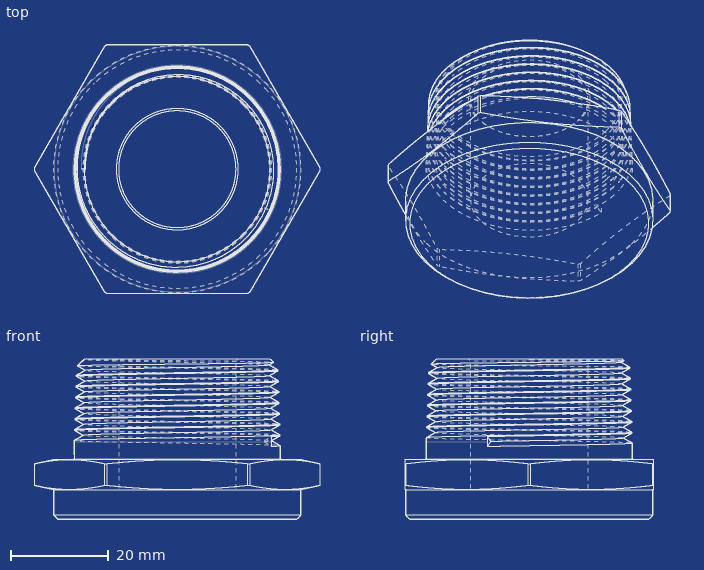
import cadquery as cq
import math

TOTAL_HEIGHT = 32.8
BASE_HEIGHT = 6.05
HEX_HEIGHT = 6.2
COLLAR_HEIGHT = 3.55
HEX_TOP = BASE_HEIGHT + HEX_HEIGHT
THREAD_START = HEX_TOP + COLLAR_HEIGHT

BASE_RADIUS = 25.25
BASE_CHAMFER = 0.9

HEX_ACROSS_FLATS = 50.8
HEX_CORNER_RADIUS = 29.2
HEX_CHAMFER_RADIUS = 25.15
HEX_CHAMFER_DROP = 0.9

COLLAR_RADIUS = 21.05
COLLAR_FILLET = 0.25
TAPER_SLOPE = 1 / 32
NECK_TOP_RADIUS = COLLAR_RADIUS - (TOTAL_HEIGHT - THREAD_START) * TAPER_SLOPE
NECK_CHAMFER = 1.6
BLANK_ALLOWANCE = 4.65

FLANK_ANGLE = math.radians(30)
CUTTER_OVERHANG = 0.05
GROOVE_RISE = 0.1
GROOVE_START_HEIGHT = THREAD_START + GROOVE_RISE
GROOVE_START_ANGLE = -24
GROOVE_END_ANGLE = 7 * 360 + 180
GROOVE_LENGTH = 16.75
PITCH = GROOVE_LENGTH * 360 / (GROOVE_END_ANGLE - GROOVE_START_ANGLE)
THREAD_DEPTH = 0.8 * PITCH

BORE_RADIUS = 11.95
BORE_CHAMFER = 0.45


def make_base_disc():
    disc = cq.Workplane("XY").circle(BASE_RADIUS).extrude(BASE_HEIGHT)
    return disc.faces("<Z").chamfer(BASE_CHAMFER)


def make_hexagon():
    """Hexagon trimmed by a turned outline that rounds and chamfers its corners."""
    corner_diameter = HEX_ACROSS_FLATS / math.cos(math.pi / 6)
    hexagon = (
        cq.Workplane("XY")
        .workplane(offset=BASE_HEIGHT)
        .polygon(6, corner_diameter)
        .extrude(HEX_HEIGHT)
    )
    envelope = (
        cq.Workplane("XZ")
        .moveTo(0, BASE_HEIGHT)
        .lineTo(HEX_CHAMFER_RADIUS, BASE_HEIGHT)
        .lineTo(HEX_CORNER_RADIUS, BASE_HEIGHT + HEX_CHAMFER_DROP)
        .lineTo(HEX_CORNER_RADIUS, HEX_TOP - HEX_CHAMFER_DROP)
        .lineTo(HEX_CHAMFER_RADIUS, HEX_TOP)
        .lineTo(0, HEX_TOP)
        .close()
        .revolve()
    )
    return hexagon.intersect(envelope)


def make_thread_blank():
    """Collar and taper, tall enough to hold the whole thread groove."""
    return (
        cq.Workplane("XZ")
        .moveTo(0, HEX_TOP)
        .lineTo(COLLAR_RADIUS, HEX_TOP)
        .lineTo(COLLAR_RADIUS, THREAD_START)
        .lineTo(NECK_TOP_RADIUS - BLANK_ALLOWANCE * TAPER_SLOPE, TOTAL_HEIGHT + BLANK_ALLOWANCE)
        .lineTo(0, TOTAL_HEIGHT + BLANK_ALLOWANCE)
        .close()
        .revolve()
    )


def make_neck_envelope():
    """Finished outline of the neck, with its top edge chamfered."""
    chamfer_start = TOTAL_HEIGHT - NECK_CHAMFER
    chamfer_start_radius = NECK_TOP_RADIUS + NECK_CHAMFER * TAPER_SLOPE
    return (
        cq.Workplane("XZ")
        .moveTo(0, HEX_TOP)
        .lineTo(COLLAR_RADIUS, HEX_TOP)
        .lineTo(COLLAR_RADIUS, THREAD_START)
        .lineTo(chamfer_start_radius, chamfer_start)
        .lineTo(NECK_TOP_RADIUS - NECK_CHAMFER, TOTAL_HEIGHT)
        .lineTo(0, TOTAL_HEIGHT)
        .close()
        .revolve()
    )


def make_thread_cutter():
    """V groove swept along a helix that follows the taper of the neck."""
    helix = cq.Wire.makeHelix(
        PITCH,
        GROOVE_LENGTH,
        COLLAR_RADIUS,
        center=cq.Vector(0, 0, GROOVE_START_HEIGHT),
        angle=-math.degrees(math.atan(TAPER_SLOPE)),
    )
    half_width = (THREAD_DEPTH + CUTTER_OVERHANG) * math.tan(FLANK_ANGLE)
    outer_radius = COLLAR_RADIUS + CUTTER_OVERHANG
    profile = cq.Workplane("XZ").polyline([
        (COLLAR_RADIUS - THREAD_DEPTH, GROOVE_START_HEIGHT),
        (outer_radius, GROOVE_START_HEIGHT - half_width),
        (outer_radius, GROOVE_START_HEIGHT + half_width),
    ]).close()
    groove = profile.sweep(cq.Workplane(helix), isFrenet=True)
    return groove.rotate((0, 0, 0), (0, 0, 1), GROOVE_START_ANGLE)


def make_collar_foot():
    """Fillet ring between the collar and the top of the hexagon."""
    return (
        cq.Workplane("XZ")
        .moveTo(0, HEX_TOP)
        .lineTo(COLLAR_RADIUS + COLLAR_FILLET, HEX_TOP)
        .radiusArc((COLLAR_RADIUS, HEX_TOP + COLLAR_FILLET), COLLAR_FILLET)
        .lineTo(0, HEX_TOP + COLLAR_FILLET)
        .close()
        .revolve()
    )


def make_bore_cutter():
    chamfer_start = TOTAL_HEIGHT - BORE_CHAMFER
    return (
        cq.Workplane("XZ")
        .moveTo(0, BASE_HEIGHT)
        .lineTo(BORE_RADIUS, BASE_HEIGHT)
        .lineTo(BORE_RADIUS, chamfer_start)
        .lineTo(BORE_RADIUS + BORE_CHAMFER, TOTAL_HEIGHT)
        .lineTo(0, TOTAL_HEIGHT)
        .close()
        .revolve()
    )


def make_fitting():
    threaded_blank = make_thread_blank().cut(make_thread_cutter())
    neck = threaded_blank.intersect(make_neck_envelope())
    body = make_hexagon().union(make_collar_foot()).union(neck)
    return body.cut(make_bore_cutter())


base_disc = make_base_disc()
fitting = make_fitting()

result = cq.Compound.makeCompound([base_disc.val(), *fitting.solids().vals()])